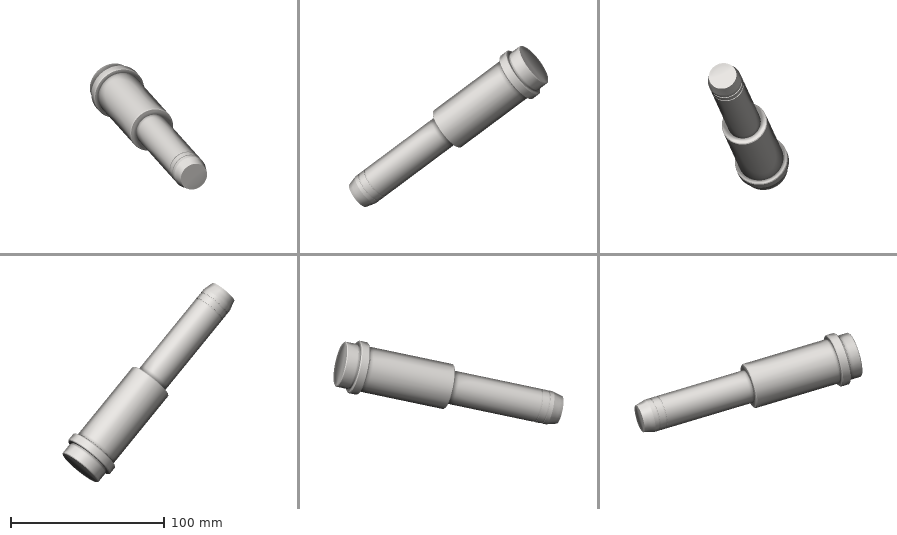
import cadquery as cq
import math

total_length = 150.0
head_length = 9.0
collar_length = 6.0
body_end = 74.0
taper_length = 6.9

body_diameter = 30.0
collar_diameter = 35.0
pin_diameter = 22.0

edge_chamfer = 0.5
taper_angle = 15.0

relief_depth = 0.38
head_relief_width = 1.2
body_relief_width = 0.9
pin_relief_width = 0.5

oil_groove_starts = (134.5, 139.5)
oil_groove_width = 0.9
oil_groove_depth = 0.38

collar_end = head_length + collar_length


def cylinder(start, length, diameter):
    """Solid cylinder along X, beginning at the given station."""
    return cq.Workplane("YZ", origin=(start, 0, 0)).circle(diameter / 2).extrude(length)


def ring_groove(start, width, diameter, depth):
    """Ring-shaped cutter that sinks a square groove into a cylinder."""
    outer = cylinder(start, width, diameter)
    return outer.cut(cylinder(start, width, diameter - 2 * depth))


head = cylinder(0, head_length, body_diameter).faces("<X").chamfer(edge_chamfer)
head_relief_start = head_length - head_relief_width
head = head.cut(ring_groove(head_relief_start, head_relief_width, body_diameter, relief_depth))

collar = cylinder(head_length, collar_length, collar_diameter).faces("<X or >X").chamfer(edge_chamfer)

body = cylinder(collar_end, body_end - collar_end, body_diameter).faces(">X").chamfer(edge_chamfer)
body = body.cut(ring_groove(collar_end, body_relief_width, body_diameter, relief_depth))

taper_drop = taper_length * math.tan(math.radians(taper_angle))
pin = cylinder(body_end, total_length - body_end, pin_diameter)
pin = pin.faces(">X").chamfer(taper_length, taper_drop)
pin = pin.cut(ring_groove(body_end, pin_relief_width, pin_diameter, relief_depth))
for groove_start in oil_groove_starts:
    pin = pin.cut(ring_groove(groove_start, oil_groove_width, pin_diameter, oil_groove_depth))

result = head.union(collar).union(body).union(pin)